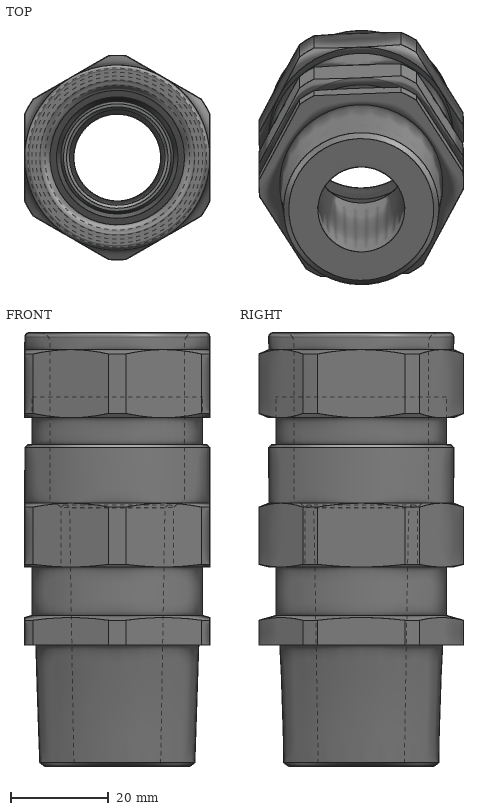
import cadquery as cq
import math


across_flats = 38.0
across_corners = 42.0
flat_radius = across_flats / 2
corner_radius = across_corners / 2
neck_radius = 17.5
socket_radius = 13.8

total_height = 88.9
entry_hex_bottom = 24.9
entry_hex_top = 30.9
middle_hex_bottom = 40.9
middle_hex_top = 54.0
collar_top = 66.0
cap_hex_bottom = 71.5
middle_body_top = 75.7
cap_hex_top = 85.4

entry_corner_drop = 1.0
middle_corner_drop_bottom = 0.5
middle_corner_drop_top = 0.8
cap_corner_drop = 0.9

shank_radius_top = 16.7
shank_radius_bottom = 15.9
shank_chamfer_width = 1.1
shank_chamfer_height = 0.8
spigot_radius = 11.6
spigot_outer_chamfer = 0.5
spigot_inner_chamfer = 0.6
bore_radius_top = 9.8
bore_radius_bottom = 8.9

collar_chamfer = 0.6
seat_level = middle_hex_top
seat_chamfer = 0.9
spigot_top = seat_level - seat_chamfer + spigot_outer_chamfer

rim_outer_fillet = 0.9
rim_inner_fillet = 2.05


def turned(points):
    """Solid of revolution about Z from (radius, height) points."""
    profile = cq.Workplane("XZ").polyline(points).close()
    return profile.revolve(360, (0, 0, 0), (0, 1, 0))


def cylinder(radius, bottom, top):
    """Upright cylinder on the Z axis."""
    return cq.Workplane("XY").workplane(offset=bottom).circle(radius).extrude(top - bottom)


def hexagon(bottom, top, top_drop, top_radius=flat_radius, bottom_drop=0):
    """Hexagon with flats facing +X and -X, turned corners and conical end chamfers."""
    point_to_point = across_flats / math.cos(math.pi / 6)
    prism = (
        cq.Workplane("XY")
        .workplane(offset=bottom)
        .transformed(rotate=(0, 0, 90))
        .polygon(6, point_to_point)
        .extrude(top - bottom)
    )
    outline = [(0, bottom)]
    if bottom_drop > 0:
        outline.append((flat_radius, bottom))
    outline += [
        (corner_radius, bottom + bottom_drop),
        (corner_radius, top - top_drop),
        (top_radius, top),
        (0, top),
    ]
    return prism.intersect(turned(outline))


def make_entry():
    """Tapered shank, thin hexagon, neck and spigot, with a tapered bore right through."""
    shank = turned([
        (0, 0),
        (shank_radius_bottom - shank_chamfer_width, 0),
        (shank_radius_bottom, shank_chamfer_height),
        (shank_radius_top, entry_hex_bottom),
        (0, entry_hex_bottom),
    ])
    flange = hexagon(entry_hex_bottom, entry_hex_top, entry_corner_drop, top_radius=neck_radius)
    neck = cylinder(neck_radius, entry_hex_top, middle_hex_bottom)
    spigot = cylinder(spigot_radius, middle_hex_bottom, spigot_top)
    spigot = spigot.faces(">Z").chamfer(spigot_outer_chamfer)
    bore = turned([
        (0, 0),
        (bore_radius_bottom, 0),
        (bore_radius_top, spigot_top - spigot_inner_chamfer),
        (bore_radius_top + spigot_inner_chamfer, spigot_top),
        (0, spigot_top),
    ])
    return shank.union(flange).union(neck).union(spigot).cut(bore)


def make_middle_body():
    """Hexagon, round collar and upper neck, bored for the cable and for the entry spigot."""
    grip = hexagon(
        middle_hex_bottom, middle_hex_top, middle_corner_drop_top,
        bottom_drop=middle_corner_drop_bottom,
    )
    collar = cylinder(flat_radius, middle_hex_top, collar_top)
    collar = collar.faces(">Z").edges().chamfer(collar_chamfer)
    neck = cylinder(neck_radius, collar_top, middle_body_top)
    bore = turned([
        (0, middle_hex_bottom),
        (spigot_radius, middle_hex_bottom),
        (spigot_radius, seat_level - seat_chamfer),
        (spigot_radius + seat_chamfer, seat_level),
        (socket_radius, seat_level),
        (socket_radius, middle_body_top),
        (0, middle_body_top),
    ])
    return grip.union(collar).union(neck).cut(bore)


def make_cap_nut():
    """Hexagon with a round rim on top, bored through and recessed for the middle body's neck."""
    grip = hexagon(cap_hex_bottom, cap_hex_top, cap_corner_drop, bottom_drop=cap_corner_drop)
    rim = cylinder(flat_radius, cap_hex_top, total_height)
    rim = rim.faces(">Z").edges().fillet(rim_outer_fillet)
    bore = cylinder(socket_radius, cap_hex_bottom, total_height)
    neck_recess = cylinder(neck_radius, cap_hex_bottom, middle_body_top)
    nut = grip.union(rim).cut(bore).cut(neck_recess)
    mouth = nut.faces(">Z").edges(cq.selectors.RadiusNthSelector(0))
    return mouth.fillet(rim_inner_fillet)


entry = make_entry()
middle_body = make_middle_body()
cap_nut = make_cap_nut()

result = cq.Compound.makeCompound([entry.val(), middle_body.val(), cap_nut.val()])